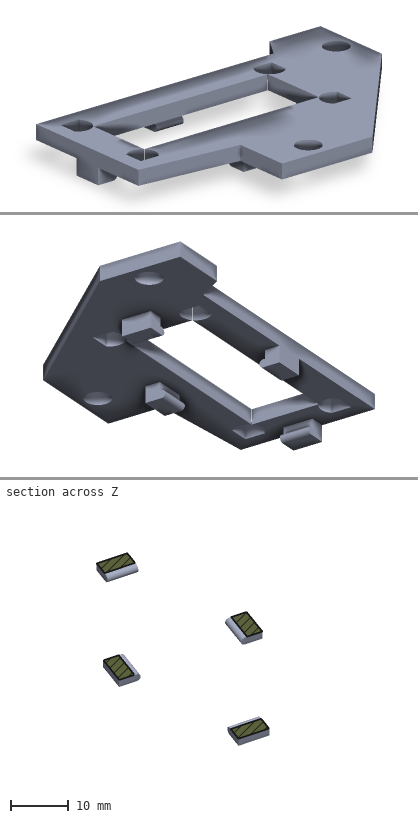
import cadquery as cq

plate_thickness = 2.95
total_height = 6.2
clip_height = total_height - plate_thickness

frame_width = 28.0
frame_length = 53.0
total_length = 67.4
left_ear_overhang = 4.9
left_ear_bottom = 56.1
top_edge_end = 11.85
right_edge = 41.3
right_ear_top = 41.3
right_ear_bottom = 21.2
right_ear_root = 29.9

frame_border = 7.0
corner_hole_inset = 2.95
corner_overlap = 0.1
corner_hole_side = frame_border - corner_hole_inset + corner_overlap
corner_hole_diameter = 5.6
screw_hole_diameter = 5.0
screw_hole_centres = [(4.2, 63.5), (37.4, 30.2)]

clip_width = 6.0
clip_post = 3.0
hook_reach = 1.15
hook_height = 1.55

centre_x = frame_width / 2
centre_y = frame_length / 2


def make_plate():
    outline = [
        (0, 0),
        (frame_width, 0),
        (right_ear_root, right_ear_bottom),
        (right_edge, right_ear_bottom),
        (right_edge, right_ear_top),
        (top_edge_end, total_length),
        (-left_ear_overhang, total_length),
        (-left_ear_overhang, left_ear_bottom),
        (0, frame_length),
    ]
    return cq.Workplane("XY").polyline(outline).close().extrude(plate_thickness)


def make_window():
    return (
        cq.Workplane("XY")
        .center(centre_x, centre_y)
        .rect(frame_width - 2 * frame_border, frame_length - 2 * frame_border)
        .extrude(plate_thickness)
    )


def make_corner_holes():
    """Round holes squared off along the two sides nearest the frame's outer edges."""
    offset_x = centre_x - corner_hole_inset - corner_hole_side / 2
    offset_y = centre_y - corner_hole_inset - corner_hole_side / 2
    corners = [(sx * offset_x, sy * offset_y) for sx in (-1, 1) for sy in (-1, 1)]
    base = cq.Workplane("XY").center(centre_x, centre_y)
    squares = base.pushPoints(corners).rect(corner_hole_side, corner_hole_side).extrude(plate_thickness)
    rounds = base.pushPoints(corners).circle(corner_hole_diameter / 2).extrude(plate_thickness)
    limits = base.rect(
        frame_width - 2 * corner_hole_inset,
        frame_length - 2 * corner_hole_inset,
    ).extrude(plate_thickness)
    return squares.union(rounds).intersect(limits)


def make_screw_holes():
    return (
        cq.Workplane("XY")
        .pushPoints(screw_hole_centres)
        .circle(screw_hole_diameter / 2)
        .extrude(plate_thickness)
    )


def make_clip():
    """Clip below the plate, outer face on X = 0, with its round-nosed hook toward +X."""
    nose_radius = hook_height / 2
    nose_start = clip_post + hook_reach - nose_radius
    hook_top = hook_height - clip_height
    return (
        cq.Workplane("XZ")
        .moveTo(0, 0)
        .lineTo(0, -clip_height)
        .lineTo(nose_start, -clip_height)
        .threePointArc((nose_start + nose_radius, hook_top - nose_radius), (nose_start, hook_top))
        .lineTo(clip_post, hook_top)
        .lineTo(clip_post, 0)
        .close()
        .extrude(clip_width / 2, both=True)
    )


result = make_plate().cut(make_window()).cut(make_corner_holes()).cut(make_screw_holes())

clip_places = [
    (0, centre_y, 0),
    (centre_x, 0, 90),
    (frame_width, centre_y, 180),
    (centre_x, frame_length, 270),
]
for x, y, turn in clip_places:
    clip = make_clip().rotate((0, 0, 0), (0, 0, 1), turn).translate((x, y, 0))
    result = result.union(clip)